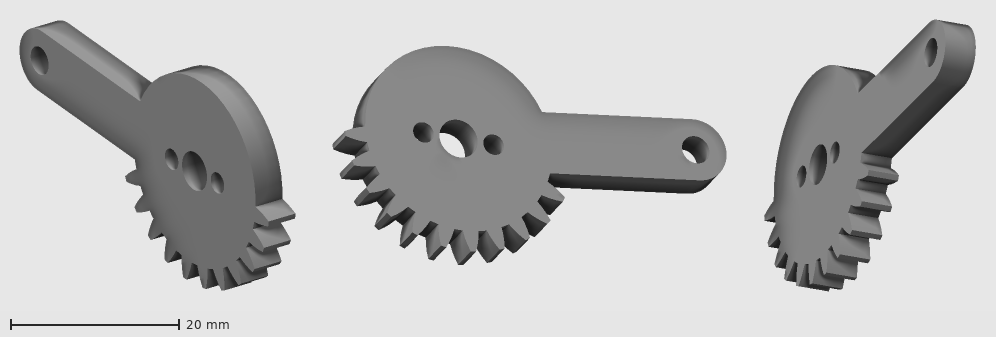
import cadquery as cq
import math

thickness = 4.0

root_radius = 12.0
tip_radius = 14.65
full_gear_teeth = 24
tooth_pitch = 360 / full_gear_teeth
teeth_left = 5
teeth_right = 6
root_half_width = 1.05
middle_half_width = 0.8
tip_half_width = 0.35

arm_length = 30.75
arm_half_width = 3.95
arm_angle = 172.6
arm_hole_diameter = 3.55

bore_diameter = 4.9
side_hole_diameter = 2.65
side_hole_offset = 4.5


def solid_from(outline):
    """Extrude an XZ outline symmetrically about the XZ plane."""
    return outline.extrude(thickness / 2, both=True)


def rotated(body, angle):
    """Turn a body about the gear axis, from +X toward +Z."""
    return body.rotate((0, 0, 0), (0, -1, 0), angle)


def make_tooth():
    """Tooth pointing along +X, with bulging flanks and a rounded tip."""
    root_x = math.sqrt(root_radius**2 - root_half_width**2)
    tip_x = math.sqrt(tip_radius**2 - tip_half_width**2)
    middle_x = (root_x + tip_x) / 2
    outline = (
        cq.Workplane("XZ")
        .lineTo(root_x, -root_half_width)
        .threePointArc((middle_x, -middle_half_width), (tip_x, -tip_half_width))
        .threePointArc((tip_radius, 0), (tip_x, tip_half_width))
        .threePointArc((middle_x, middle_half_width), (root_x, root_half_width))
        .close()
    )
    return solid_from(outline)


def make_arm():
    """Straight arm with a round, drilled end, swung to its angle."""
    outline = (
        cq.Workplane("XZ")
        .moveTo(0, -arm_half_width)
        .lineTo(arm_length, -arm_half_width)
        .threePointArc((arm_length + arm_half_width, 0), (arm_length, arm_half_width))
        .lineTo(0, arm_half_width)
        .close()
    )
    hole = cq.Workplane("XZ").center(arm_length, 0).circle(arm_hole_diameter / 2)
    return rotated(solid_from(outline).cut(solid_from(hole)), arm_angle)


def make_hub_holes():
    """Central bore with a smaller hole on either side."""
    bore = solid_from(cq.Workplane("XZ").circle(bore_diameter / 2))
    side_centers = [(-side_hole_offset, 0), (side_hole_offset, 0)]
    side_holes = cq.Workplane("XZ").pushPoints(side_centers).circle(side_hole_diameter / 2)
    return bore.union(solid_from(side_holes))


result = solid_from(cq.Workplane("XZ").circle(root_radius)).union(make_arm())

tooth = make_tooth()
for index in range(-teeth_left, teeth_right):
    result = result.union(rotated(tooth, -90 + (index + 0.5) * tooth_pitch))

result = result.cut(make_hub_holes())